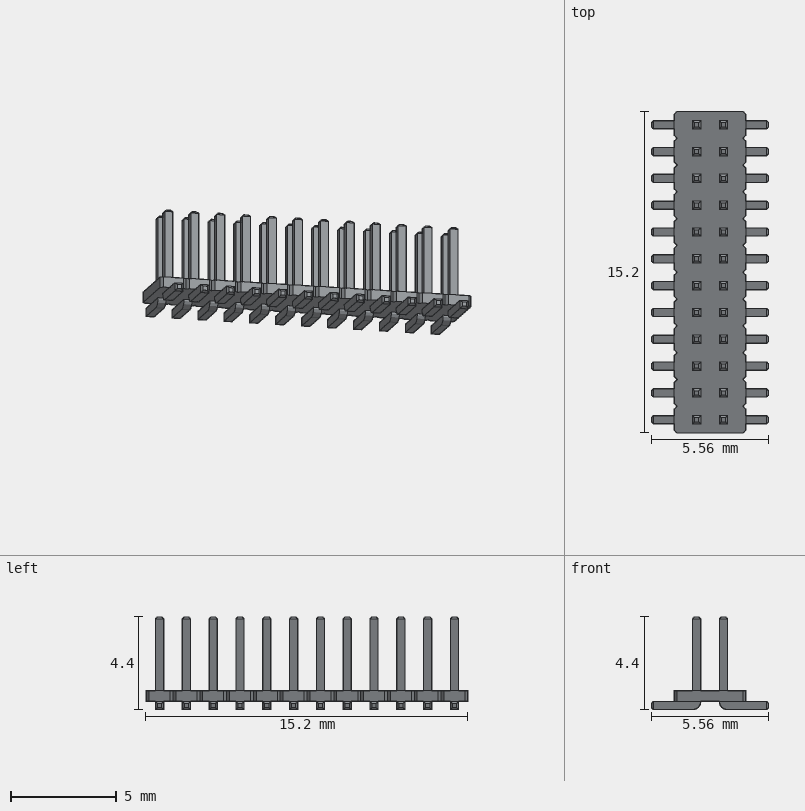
import cadquery as cq


pins_per_row = 12
strip_length = 15.24
strip_width = 3.4
strip_thickness = 0.5
notch_depth = 0.14
leg_span = 5.56
total_height = 4.4
pin_size = 0.4
tip_chamfer = 0.099

pitch = strip_length / pins_per_row
half_length = strip_length / 2
half_width = strip_width / 2
half_waist = half_width - notch_depth
strip_bottom = pin_size
pin_center_x = pitch / 2
pin_inner_x = pin_center_x - pin_size / 2
pin_positions = [(i + 0.5) * pitch - half_length for i in range(pins_per_row)]


def make_strip():
    """Carrier strip: each pin position adds one chamfered lobe on both sides."""
    right_side = [(half_waist, -half_length)]
    for y in pin_positions:
        lobe_end = y + pitch / 2
        right_side.append((half_width, y - pitch / 2 + notch_depth))
        right_side.append((half_width, lobe_end - notch_depth))
        right_side.append((half_waist, lobe_end))
    left_side = [(-x, y) for x, y in reversed(right_side)]
    return (
        cq.Workplane("XY")
        .workplane(offset=strip_bottom)
        .polyline(right_side + left_side)
        .close()
        .extrude(strip_thickness)
    )


def make_pin():
    """One pin of the +X row, centred on Y = 0: upright post, rounded bend and flat leg."""
    post = (
        cq.Workplane("XY")
        .center(pin_center_x, 0)
        .rect(pin_size, pin_size)
        .extrude(total_height)
        .faces(">Z")
        .chamfer(tip_chamfer)
    )
    leg_length = leg_span / 2 - pin_inner_x
    leg = (
        cq.Workplane("XY")
        .box(leg_length, pin_size, pin_size, centered=(False, True, False))
        .translate((pin_inner_x, 0, 0))
        .faces(">X")
        .chamfer(tip_chamfer)
    )
    bend_center_x = pin_inner_x + pin_size
    bend_corner = (
        cq.Workplane("XY")
        .box(pin_size, pin_size, pin_size, centered=(False, True, False))
        .translate((pin_inner_x, 0, 0))
    )
    bend_round = (
        cq.Workplane("XZ")
        .center(bend_center_x, strip_bottom)
        .circle(pin_size)
        .extrude(pin_size / 2, both=True)
    )
    return post.union(leg).cut(bend_corner.cut(bend_round))


right_pin = make_pin()
left_pin = right_pin.mirror("YZ")

result = make_strip()
for pin_y in pin_positions:
    for pin in (right_pin, left_pin):
        result = result.union(pin.translate((0, pin_y, 0)))